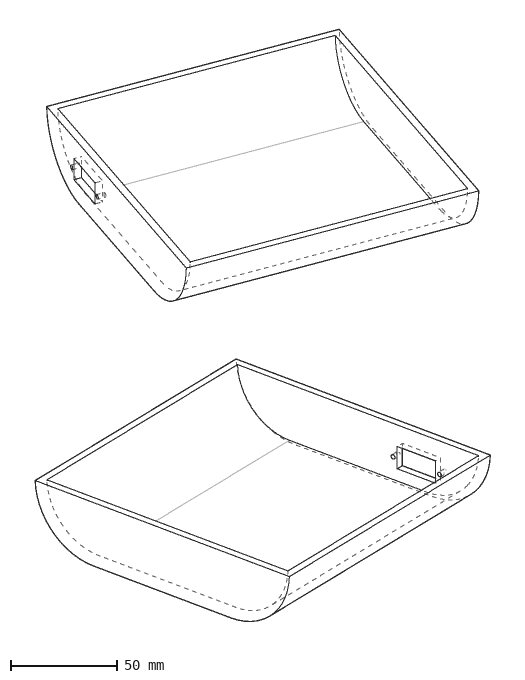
import cadquery as cq
import math

side = 152.4
height = 34.0
wall = 4.0
corner_radius = 35.0

connector_x = -34.9
opening_width = 22.9
opening_height = 11.9
opening_z = -17.5
screw_spacing = 27.9
screw_diameter = 2.3
screw_z = -18.0

arc_center_z = corner_radius - height
flat_half_width = side / 2 - corner_radius


def trough(radius, length):
    """Solid with a flat bottom and two round lower edges, centered along Y."""
    rim_half_width = flat_half_width + math.sqrt(radius**2 - arc_center_z**2)
    bottom_z = arc_center_z - radius
    mid_angle = (math.asin(arc_center_z / radius) + math.pi / 2) / 2
    mid_x = flat_half_width + radius * math.cos(mid_angle)
    mid_z = arc_center_z - radius * math.sin(mid_angle)
    return (
        cq.Workplane("XZ")
        .moveTo(-rim_half_width, 0)
        .threePointArc((-mid_x, mid_z), (-flat_half_width, bottom_z))
        .lineTo(flat_half_width, bottom_z)
        .threePointArc((mid_x, mid_z), (rim_half_width, 0))
        .close()
        .extrude(length / 2, both=True)
    )


def connector_cutout():
    """Rectangular opening and two screw holes through the front wall."""
    front = cq.Workplane("XZ", origin=(connector_x, -side / 2, 0))
    opening = front.center(0, opening_z).rect(opening_width, opening_height).extrude(-wall)
    screws = (
        front.pushPoints([(sign * screw_spacing / 2, screw_z) for sign in (-1, 1)])
        .circle(screw_diameter / 2)
        .extrude(-wall)
    )
    return opening.union(screws)


tray = trough(corner_radius, side).cut(trough(corner_radius - wall, side - 2 * wall))
result = tray.cut(connector_cutout())